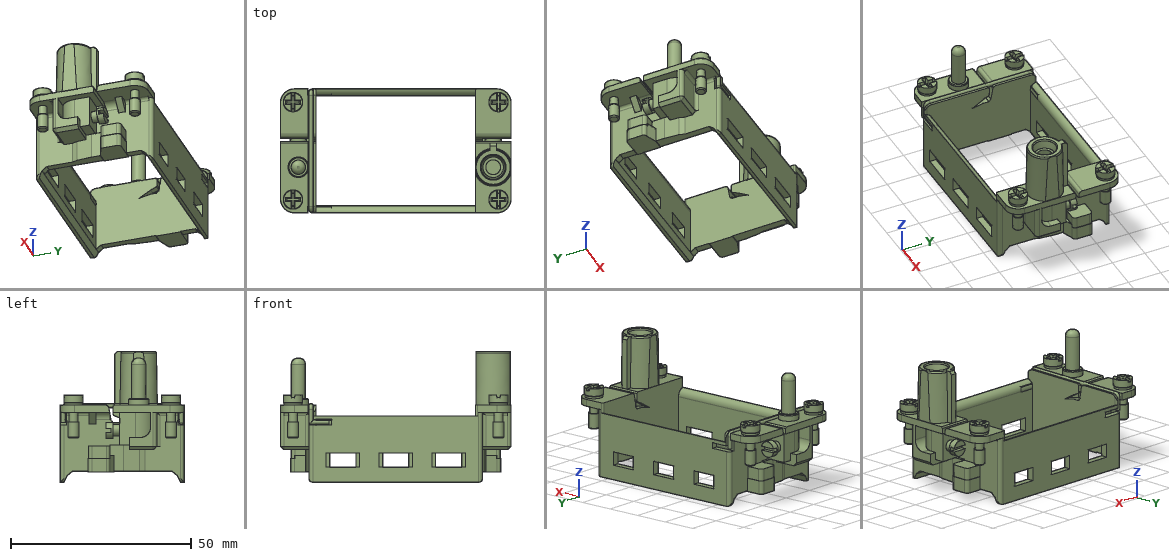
import cadquery as cq
import math

LENGTH = 64.0
WIDTH = 34.4
FRAME_LENGTH = 48.1
WALL = 2.0
SIDE_TOP = 18.4
RIM_TOP = 21.4
CORNER = 1.1
END_BOTTOM = 3.0
FOOT_WIDTH = 1.0
FOOT_BEVEL_HEIGHT = 1.85
FOOT_ARCH_WIDTH = 3.4
SIDE_TOP_LIP = 0.2
SIDE_TOP_ROUND_HEIGHT = 2.3

WINDOW_PITCH = 14.65
WINDOW_BOTTOM = 4.2
WINDOW_HEIGHT = 3.85
FRONT_WINDOW_WIDTH = 9.3
BACK_WINDOW_WIDTH = 7.2

FLANGE_THICKNESS = 2.0
FLANGE_CORNER = 4.0
FLANGE_FILLET = 0.9
INNER_CORNER = 0.5

GAP_BACK_Y = 3.65
GAP_FRONT_Y = 2.6
GAP_ROUND = 0.95
GAP_BEVEL = 0.4
GAP_BOTTOM = 16.5
GAP_KNEE_Y = 3.1
GAP_KNEE_Z = 17.15
GAP_NOSE_Y = 2.4
GAP_NOSE_TOP = 17.8
GAP_NOSE_BEND_Z = 18.55
GAP_NOSE_END_Z = 19.0
GAP_POINT_Y = -2.7
GAP_POINT_Z = 15.8

BLOCK_Y_MIN = -9.6
BLOCK_Y_MAX = 0.7
BLOCK_BOTTOM = 9.0
BLOCK_CHAMFER = 0.95
BLOCK_FILLET = 1.0
RECESS_DEPTH = 2.1
RECESS_FLOOR = 12.4
RECESS_Y_MIN = -7.9
RECESS_CORNER = 2.9
RECESS_CURVE_Y = -3.7
LEDGE_Y_MAX = -2.05
INNER_BLOCK_BOTTOM = 10.4
LUG_X = 29.1
LUG_OVERHANG = 0.1
LUG_Y_MAX = 9.5
LUG_Y_MIN = 3.4
LUG_SHOULDER_Y = 2.25
LUG_SHOULDER_TOP = 7.4
LUG_BOTTOM = 2.8
LUG_STEP = 6.65
LUG_TOP = 10.05
GUSSET_Y_MIN = 7.2
GUSSET_Y_MAX = 9.2
GUSSET_BOTTOM = 16.2
GUSSET_DEPTH = 3.2
PAD_DEPTH = 0.9
PAD_EDGE_DEPTH = 0.5
PAD_FLAT_Y_MIN = -0.4
PAD_SLOPE_Y_MIN = -4.75
PAD_Y_MIN = -6.35
LIP_RADIUS = 1.9

SCREW_X = 28.5
SCREW_Y = 13.5
HEAD_DIAMETER = 5.4
COLLAR_DIAMETER = 5.05
COLLAR_HEIGHT = 0.6
HEAD_TOP = 24.2
HEAD_CHAMFER = 0.2
NECK_DIAMETER = 2.4
NECK_BOTTOM = 16.7
THREAD_DIAMETER = 3.0
THREAD_BOTTOM = 12.2
THREAD_CHAMFER = 0.3
SLOT_WIDTH = 1.2
SLOT_DEPTH = 0.7
CROSS_LENGTH = 4.1
CROSS_DEPTH = 1.3
SLOT_TAPER = 22
CROSS_TAPER = 15

CONTACT_X = 27.0
CONTACT_Z = 14.4
CONTACT_HEAD_DIAMETER = 4.5
CONTACT_HEAD_LENGTH = 1.9
CONTACT_SHANK_DIAMETER = 3.2
CONTACT_HEAD_END = 4.5
CONTACT_SLOT_WIDTH = 1.1
CONTACT_SLOT_DEPTH = 1.35

GUIDE_X = 27.0
GUIDE_Y = -4.55
PIN_DIAMETER = 4.0
PIN_TOP = 34.4
PIN_DOME = 1.7
PIN_COLLAR_DIAMETER = 5.7
PIN_COLLAR_TOP = 23.2
PIN_COLLAR_CHAMFER = 0.25
BUSH_TOP = 36.3
BUSH_TOP_RADIUS = 5.0
BUSH_BASE_RADIUS = 5.25
BUSH_FLAT_OFFSET = 4.8
BUSH_RIM_HEIGHT = 0.45
BUSH_RIM_WIDTH = 0.25
KEY_WIDTH = 1.7
KEY_Y_MAX = 2.1
KEY_CHAMFER = 0.8
MOUTH_DIAMETER = 7.2
MOUTH_DEPTH = 0.4
TAPER_TOP_DIAMETER = 6.65
BORE_DIAMETER = 5.7
BORE_DEPTH = 2.55
INNER_BORE_DIAMETER = 4.1
INNER_BORE_DEPTH = 12.8

WIRE_DIAMETER = 1.2
WIRE_X = -23.5
WIRE_Y = 16.4
WIRE_TOP = 21.8
WIRE_LOW_Z = 16.65
WIRE_BEND = 1.0
STRIP_ROUND = 1.9
WIRE_END_X = -18.5
CHANNEL_X_MIN = -24.4
CHANNEL_X_MAX = -22.8
CHANNEL_FLOOR = 20.75
POCKET_X_MAX = -17.8
POCKET_DEPTH = 1.8
POCKET_HEIGHT = 1.6

HALF_WIDTH = WIDTH / 2
FRAME_X = FRAME_LENGTH / 2
INNER_X = FRAME_X - WALL
OUTER_X = LENGTH / 2
FLANGE_BOTTOM = RIM_TOP - FLANGE_THICKNESS


def box(x_min, x_max, y_min, y_max, z_min, z_max):
    """Axis-aligned box given by its limits."""
    size = (x_max - x_min, y_max - y_min, z_max - z_min)
    return cq.Workplane().box(*size, centered=False).translate((x_min, y_min, z_min))


def cylinder(diameter, x, y, z_min, z_max):
    """Upright cylinder between two heights."""
    return cq.Workplane(origin=(x, y, z_min)).circle(diameter / 2).extrude(z_max - z_min)


def mirrored(shape, plane):
    return shape.union(shape.mirror(plane))


def side_wall():
    """Front side wall: rounded inner top edge and bevelled inner foot."""
    outer = -HALF_WIDTH
    inner = outer + WALL
    lip = outer + SIDE_TOP_LIP
    return (
        cq.Workplane("YZ", origin=(-FRAME_X, 0, 0))
        .moveTo(outer, 0)
        .lineTo(outer + FOOT_WIDTH, 0)
        .lineTo(inner, FOOT_BEVEL_HEIGHT)
        .lineTo(inner, SIDE_TOP - SIDE_TOP_ROUND_HEIGHT)
        .threePointArc(
            (
                lip + (WALL - SIDE_TOP_LIP) * math.sqrt(0.5),
                SIDE_TOP - SIDE_TOP_ROUND_HEIGHT * (1 - math.sqrt(0.5)),
            ),
            (lip, SIDE_TOP),
        )
        .lineTo(outer, SIDE_TOP)
        .close()
        .extrude(FRAME_LENGTH)
    )


def windows(y_min, width):
    """Row of three windows through one side wall."""
    window = box(-width / 2, width / 2, y_min, y_min + WALL, WINDOW_BOTTOM, WINDOW_BOTTOM + WINDOW_HEIGHT)
    row = window
    for shift in (-WINDOW_PITCH, WINDOW_PITCH):
        row = row.union(window.translate((shift, 0, 0)))
    return row


def end_wall():
    """Right end wall, arched between the two feet."""
    foot = HALF_WIDTH - FOOT_WIDTH
    bevel = HALF_WIDTH - WALL
    arch = HALF_WIDTH - FOOT_ARCH_WIDTH
    right_half = [
        (0, END_BOTTOM),
        (arch, END_BOTTOM),
        (bevel, FOOT_BEVEL_HEIGHT),
        (foot, 0),
        (HALF_WIDTH, 0),
        (HALF_WIDTH, RIM_TOP),
        (0, RIM_TOP),
    ]
    half = cq.Workplane("YZ", origin=(INNER_X, 0, 0)).polyline(right_half).close().extrude(WALL)
    return mirrored(half, "XZ")


def frame():
    front = side_wall().cut(windows(-HALF_WIDTH, FRONT_WINDOW_WIDTH))
    back = side_wall().mirror("XZ").cut(windows(HALF_WIDTH - WALL, BACK_WINDOW_WIDTH))
    ends = mirrored(end_wall(), "YZ")
    block = box(-FRAME_X, FRAME_X, -HALF_WIDTH, HALF_WIDTH, 0, RIM_TOP)
    upright_rounding = block.edges("|Z").fillet(CORNER)
    bottom_rounding = block.edges("|Y and <Z").fillet(CORNER)
    return front.union(back).union(ends).intersect(upright_rounding).intersect(bottom_rounding)


def outer_block():
    """Block under the right flange with an open recess on its outer face."""
    block = box(INNER_X, OUTER_X, BLOCK_Y_MIN, BLOCK_Y_MAX, BLOCK_BOTTOM, RIM_TOP)
    block = block.edges("|Z and >X and <Y").fillet(BLOCK_FILLET)
    block = block.faces("<Z").edges(">X or <Y").chamfer(BLOCK_CHAMFER)
    recess_x = OUTER_X - RECESS_DEPTH
    curve_length = RECESS_CURVE_Y - RECESS_Y_MIN
    curve_radius = (curve_length**2 + RECESS_DEPTH**2) / (2 * RECESS_DEPTH)
    recess_plan = (
        cq.Workplane(origin=(0, 0, RECESS_FLOOR))
        .moveTo(OUTER_X, BLOCK_Y_MAX)
        .lineTo(recess_x, BLOCK_Y_MAX)
        .lineTo(recess_x, RECESS_CURVE_Y)
        .radiusArc((recess_x - RECESS_DEPTH, RECESS_Y_MIN), curve_radius)
        .lineTo(OUTER_X, RECESS_Y_MIN)
        .close()
        .extrude(FLANGE_BOTTOM - RECESS_FLOOR)
    )
    recess = box(recess_x - RECESS_DEPTH, OUTER_X, RECESS_Y_MIN, BLOCK_Y_MAX, RECESS_FLOOR, FLANGE_BOTTOM)
    recess = recess.edges("|X and <Y and <Z").fillet(RECESS_CORNER).intersect(recess_plan)
    beside_ledge = box(recess_x, OUTER_X, LEDGE_Y_MAX, BLOCK_Y_MAX, 0, FLANGE_BOTTOM)
    below_inner = box(INNER_X, OUTER_X, LEDGE_Y_MAX, BLOCK_Y_MAX, 0, INNER_BLOCK_BOTTOM)
    return block.cut(recess).cut(beside_ledge).cut(below_inner)


def lug_part(length, y_max, z_min, z_max):
    part = box(INNER_X, INNER_X + length, LUG_Y_MIN, y_max, z_min, z_max)
    return part.edges("|Z and >X").fillet(BLOCK_FILLET)


def lug():
    """Lower lug beside the block; its lower half is larger and has a tapering shoulder."""
    length = LUG_X - INNER_X
    lower = lug_part(length, LUG_Y_MAX, LUG_BOTTOM, LUG_STEP)
    upper = lug_part(length - LUG_OVERHANG, LUG_Y_MAX - LUG_OVERHANG, LUG_STEP, LUG_TOP)
    shoulder = (
        cq.Workplane(origin=(0, 0, LUG_BOTTOM))
        .moveTo(INNER_X, LUG_Y_MIN)
        .lineTo(LUG_X - BLOCK_FILLET, LUG_Y_MIN)
        .lineTo(FRAME_X + PAD_DEPTH, LUG_SHOULDER_Y)
        .lineTo(INNER_X, LUG_SHOULDER_Y)
        .close()
        .extrude(LUG_SHOULDER_TOP - LUG_BOTTOM)
    )
    return lower.union(upper).union(shoulder)


def end_wall_details():
    """Thickened pad, gusset and concave lip on the outer face of the right end wall."""
    pad = (
        cq.Workplane(origin=(0, 0, END_BOTTOM))
        .moveTo(INNER_X, LUG_Y_MIN)
        .lineTo(FRAME_X + PAD_DEPTH, LUG_Y_MIN)
        .lineTo(FRAME_X + PAD_DEPTH, PAD_FLAT_Y_MIN)
        .lineTo(FRAME_X + PAD_EDGE_DEPTH, PAD_SLOPE_Y_MIN)
        .lineTo(FRAME_X, PAD_Y_MIN)
        .lineTo(INNER_X, PAD_Y_MIN)
        .close()
        .extrude(INNER_BLOCK_BOTTOM - END_BOTTOM)
    )
    gusset = (
        cq.Workplane("XZ", origin=(0, GUSSET_Y_MAX, 0))
        .moveTo(FRAME_X, GUSSET_BOTTOM)
        .lineTo(FRAME_X + GUSSET_DEPTH, FLANGE_BOTTOM)
        .lineTo(FRAME_X, FLANGE_BOTTOM)
        .close()
        .extrude(GUSSET_Y_MAX - GUSSET_Y_MIN)
    )
    lip_length = GUSSET_Y_MIN - LUG_Y_MIN
    lip = cove("XZ", (FRAME_X, GUSSET_Y_MIN, FLANGE_BOTTOM), (1, -1), LIP_RADIUS, lip_length)
    return pad.union(gusset).union(lip)


def cove(plane, origin, toward, radius, length):
    """Concave fillet bar in a right-angled corner, opening toward the given signs."""
    a, b = toward
    return (
        cq.Workplane(plane, origin=origin)
        .lineTo(a * radius, 0)
        .radiusArc((0, b * radius), a * b * radius)
        .close()
        .extrude(length)
    )


def corner_coves():
    """Fillets between the right flange, end wall and block."""
    wall_end = HALF_WIDTH - CORNER
    wall_corner = (FRAME_X, BLOCK_Y_MIN, FLANGE_BOTTOM)
    front = cove("XZ", wall_corner, (1, -1), FLANGE_FILLET, BLOCK_Y_MIN + wall_end)
    back = cove("XZ", (FRAME_X, wall_end, FLANGE_BOTTOM), (1, -1), FLANGE_FILLET, wall_end - GUSSET_Y_MAX)
    block = cove("YZ", wall_corner, (-1, -1), FLANGE_FILLET, OUTER_X - BLOCK_FILLET - FRAME_X)
    upright_z = BLOCK_BOTTOM + BLOCK_CHAMFER
    upright = cove("XY", (FRAME_X, BLOCK_Y_MIN, upright_z), (1, -1), FLANGE_FILLET, FLANGE_BOTTOM - upright_z)
    return front.union(back).union(block).union(upright)


def end_body():
    """Right flange with everything that carries it."""
    flange = box(INNER_X, OUTER_X, -HALF_WIDTH, HALF_WIDTH, FLANGE_BOTTOM, RIM_TOP)
    flange = flange.edges("|Z and >X").fillet(FLANGE_CORNER)
    body = flange.union(outer_block()).union(corner_coves())
    return body.union(lug()).union(end_wall_details())


def flange_gap():
    """Bent gap that splits the flanges and narrows to a point inside each end wall."""
    gap = (
        cq.Workplane("YZ", origin=(-OUTER_X, 0, 0))
        .moveTo(GAP_BACK_Y + GAP_ROUND, RIM_TOP)
        .radiusArc((GAP_BACK_Y, RIM_TOP - GAP_ROUND), -GAP_ROUND)
        .lineTo(GAP_KNEE_Y, GAP_KNEE_Z)
        .lineTo(GAP_NOSE_Y, GAP_BOTTOM)
        .lineTo(BLOCK_Y_MAX, GAP_BOTTOM)
        .lineTo(BLOCK_Y_MAX, GAP_NOSE_TOP)
        .lineTo(GAP_NOSE_Y, GAP_NOSE_BEND_Z)
        .lineTo(GAP_FRONT_Y, GAP_NOSE_END_Z)
        .lineTo(GAP_FRONT_Y, RIM_TOP - GAP_BEVEL)
        .lineTo(GAP_FRONT_Y - GAP_BEVEL, RIM_TOP)
        .close()
        .extrude(LENGTH)
    )
    point = (
        cq.Workplane("YZ", origin=(INNER_X, 0, 0))
        .moveTo(BLOCK_Y_MAX, GAP_BOTTOM)
        .lineTo(BLOCK_Y_MAX, GAP_NOSE_TOP)
        .lineTo(GAP_POINT_Y, GAP_POINT_Z)
        .close()
        .extrude(WALL)
    )
    return gap.union(mirrored(point, "YZ"))


def mounting_screw(x, y):
    """Screw with a tapered cross recess and a slot along Y across the head."""
    head = cylinder(HEAD_DIAMETER, x, y, RIM_TOP + COLLAR_HEIGHT, HEAD_TOP)
    head = head.faces("<Z").edges().chamfer(HEAD_CHAMFER)
    top = cq.Workplane(origin=(x, y, HEAD_TOP))
    slot = top.rect(SLOT_WIDTH, 2 * HEAD_DIAMETER).extrude(-SLOT_DEPTH, taper=SLOT_TAPER)
    cross_x = top.rect(CROSS_LENGTH, SLOT_WIDTH).extrude(-CROSS_DEPTH, taper=CROSS_TAPER)
    cross_y = top.rect(SLOT_WIDTH, CROSS_LENGTH).extrude(-CROSS_DEPTH, taper=CROSS_TAPER)
    collar = cylinder(COLLAR_DIAMETER, x, y, RIM_TOP, RIM_TOP + COLLAR_HEIGHT)
    neck = cylinder(NECK_DIAMETER, x, y, NECK_BOTTOM, RIM_TOP)
    thread = cylinder(THREAD_DIAMETER, x, y, THREAD_BOTTOM, NECK_BOTTOM).faces("<Z").chamfer(THREAD_CHAMFER)
    return head.cut(slot).cut(cross_x).cut(cross_y).union(collar).union(neck).union(thread)


def contact_screw():
    """Slotted screw lying along Y in the right block."""
    plane = cq.Workplane("XZ", origin=(CONTACT_X, CONTACT_HEAD_END, CONTACT_Z))
    head = plane.circle(CONTACT_HEAD_DIAMETER / 2).extrude(CONTACT_HEAD_LENGTH)
    shank = plane.circle(CONTACT_SHANK_DIAMETER / 2).extrude(CONTACT_HEAD_END)
    slot = plane.rect(2 * CONTACT_HEAD_DIAMETER, CONTACT_SLOT_WIDTH).extrude(CONTACT_SLOT_DEPTH)
    return head.union(shank).cut(slot)


def guide_pin():
    pin = cylinder(PIN_DIAMETER, -GUIDE_X, GUIDE_Y, FLANGE_BOTTOM, PIN_TOP)
    pin = pin.faces(">Z").edges().fillet(PIN_DOME)
    collar = cylinder(PIN_COLLAR_DIAMETER, -GUIDE_X, GUIDE_Y, FLANGE_BOTTOM, PIN_COLLAR_TOP)
    collar = collar.faces(">Z").edges().chamfer(PIN_COLLAR_CHAMFER)
    return pin.union(collar)


def guide_bushing():
    """Tapered socket with side flats, a key and a stepped bore."""
    profile = [
        (0, FLANGE_BOTTOM),
        (BUSH_BASE_RADIUS, FLANGE_BOTTOM),
        (BUSH_BASE_RADIUS, RIM_TOP),
        (BUSH_TOP_RADIUS, BUSH_TOP - BUSH_RIM_HEIGHT),
        (BUSH_TOP_RADIUS - BUSH_RIM_WIDTH, BUSH_TOP),
        (MOUTH_DIAMETER / 2, BUSH_TOP),
        (TAPER_TOP_DIAMETER / 2, BUSH_TOP - MOUTH_DEPTH),
        (BORE_DIAMETER / 2, BUSH_TOP - BORE_DEPTH),
        (INNER_BORE_DIAMETER / 2, BUSH_TOP - BORE_DEPTH),
        (INNER_BORE_DIAMETER / 2, BUSH_TOP - INNER_BORE_DEPTH),
        (0, BUSH_TOP - INNER_BORE_DEPTH),
    ]
    socket = cq.Workplane("XZ").polyline(profile).close().revolve(360, (0, 0, 0), (0, 1, 0))
    flats = box(
        -BUSH_FLAT_OFFSET, BUSH_FLAT_OFFSET, -BUSH_BASE_RADIUS, BUSH_BASE_RADIUS, FLANGE_BOTTOM, BUSH_TOP
    )
    key_root = BUSH_TOP_RADIUS - 2 * BUSH_RIM_WIDTH
    key = box(-KEY_WIDTH / 2, KEY_WIDTH / 2, key_root, KEY_Y_MAX - GUIDE_Y, FLANGE_BOTTOM, BUSH_TOP)
    key = key.edges("|X and >Y and >Z").chamfer(KEY_CHAMFER)
    return socket.intersect(flats).union(key).translate((GUIDE_X, GUIDE_Y, 0))


def inner_corner_cuts():
    """Material removed to round the inner corners of the flanges above the side walls."""
    y_min = HALF_WIDTH - INNER_CORNER
    corner = box(INNER_X, INNER_X + INNER_CORNER, y_min, HALF_WIDTH, SIDE_TOP, RIM_TOP)
    rounding = cylinder(2 * INNER_CORNER, INNER_X + INNER_CORNER, y_min, SIDE_TOP, RIM_TOP)
    return mirrored(mirrored(corner.cut(rounding), "XZ"), "YZ")


def wire_space():
    """Channel across the left end wall, pockets in the side walls and rounded strip ends."""
    low = WIRE_LOW_Z - POCKET_HEIGHT / 2
    wall_y = HALF_WIDTH - POCKET_DEPTH
    channel = box(CHANNEL_X_MIN, CHANNEL_X_MAX, -HALF_WIDTH, HALF_WIDTH, CHANNEL_FLOOR, RIM_TOP)
    drop = box(CHANNEL_X_MIN, CHANNEL_X_MAX, wall_y, HALF_WIDTH, low, RIM_TOP)
    pocket = box(CHANNEL_X_MIN, POCKET_X_MAX, wall_y, HALF_WIDTH, low, low + POCKET_HEIGHT)
    strip_corner = (CHANNEL_X_MIN, HALF_WIDTH, RIM_TOP)
    strip_end = cove("YZ", strip_corner, (-1, -1), STRIP_ROUND, -INNER_X - CHANNEL_X_MIN)
    return channel.union(mirrored(drop.union(pocket).union(strip_end), "XZ"))


def wire():
    """Round wire bent across the end wall, down both corners and along the side walls."""
    radius = WIRE_DIAMETER / 2
    top_z = WIRE_TOP - radius
    path = (
        cq.Workplane("YZ", origin=(WIRE_X, 0, 0))
        .moveTo(-WIRE_Y, WIRE_LOW_Z)
        .lineTo(-WIRE_Y, top_z - WIRE_BEND)
        .radiusArc((-WIRE_Y + WIRE_BEND, top_z), WIRE_BEND)
        .lineTo(WIRE_Y - WIRE_BEND, top_z)
        .radiusArc((WIRE_Y, top_z - WIRE_BEND), WIRE_BEND)
        .lineTo(WIRE_Y, WIRE_LOW_Z)
    )
    hoop = cq.Workplane(origin=(WIRE_X, -WIRE_Y, WIRE_LOW_Z)).circle(radius).sweep(path)
    elbow = (WIRE_X, WIRE_Y, WIRE_LOW_Z)
    foot = cq.Workplane("YZ", origin=elbow).circle(radius).extrude(WIRE_END_X - WIRE_X)
    foot = foot.union(cq.Workplane().sphere(radius).translate(elbow))
    return hoop.union(mirrored(foot, "XZ"))


result = frame().union(mirrored(end_body(), "YZ")).cut(inner_corner_cuts())
result = result.cut(flange_gap()).cut(wire_space()).union(wire())
for x in (-SCREW_X, SCREW_X):
    for y in (-SCREW_Y, SCREW_Y):
        result = result.union(mounting_screw(x, y))
result = result.union(mirrored(contact_screw(), "YZ"))
result = result.union(guide_pin()).union(guide_bushing())